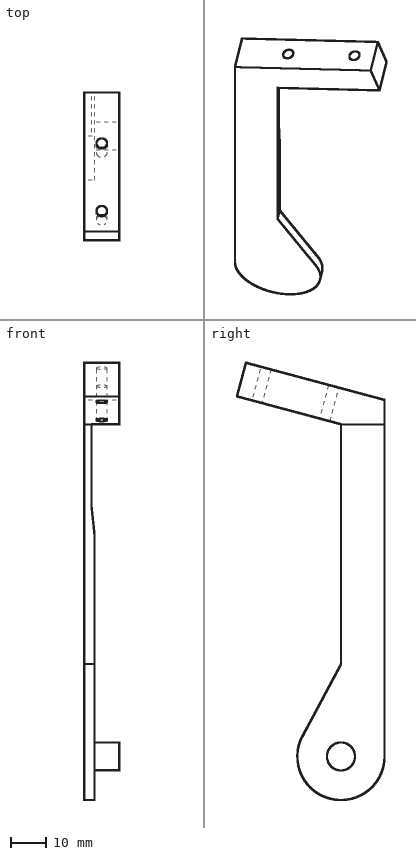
import cadquery as cq
import math

height = 124.9
width = 10.0
depth = 42.2

pad_radius = 12.5
plate_thickness = 3.0
pin_diameter = 8.0

stem_depth = 12.5
flare_start_z = 26.3
flare_end_z = 4.7
thin_thickness = 2.1
taper_bottom_z = 63.0
taper_top_z = 71.2

arm_angle = math.radians(15)
arm_height = 10.0
hole_diameter = 3.0
hole_pitch = 20.0
hole_end_offset = 6.0

back_y = pad_radius
stem_front_y = back_y - stem_depth
front_y = back_y - depth
top_z = height - pad_radius

along = (-math.cos(arm_angle), math.sin(arm_angle))
down = (-math.sin(arm_angle), -math.cos(arm_angle))

arm_tip_top = (front_y - arm_height * down[0], top_z)
arm_tip_bottom = (front_y, top_z + arm_height * down[1])
arm_length = (back_y - arm_tip_top[0]) / math.cos(arm_angle)
arm_back_top = (back_y, top_z - arm_length * along[1])
inner_corner_z = (
    arm_back_top[1] + stem_depth * math.tan(arm_angle) - arm_height / math.cos(arm_angle)
)
inner_corner = (stem_front_y, inner_corner_z)


def extrude_profile(profile, thickness):
    return profile.close().extrude(thickness)


def make_plate():
    """Stem and teardrop pad; the flare runs nearly tangent into the pad circle."""
    flare_end_y = -math.sqrt(pad_radius**2 - flare_end_z**2)
    profile = (
        cq.Workplane("YZ")
        .moveTo(back_y, 0)
        .lineTo(*arm_back_top)
        .lineTo(*inner_corner)
        .lineTo(stem_front_y, flare_start_z)
        .lineTo(flare_end_y, flare_end_z)
        .threePointArc((0, -pad_radius), (back_y, 0))
    )
    return extrude_profile(profile, plate_thickness)


def make_stem_relief():
    """Material removed from the +X face to thin the upper stem."""
    profile = (
        cq.Workplane("XZ")
        .moveTo(plate_thickness, taper_bottom_z)
        .lineTo(thin_thickness, taper_top_z)
        .lineTo(thin_thickness, height)
        .lineTo(plate_thickness, height)
        .close()
    )
    return profile.extrude(depth, both=True)


def make_arm():
    """Inclined arm; its root has a level underside across the stem."""
    profile = cq.Workplane("YZ").polyline(
        [arm_back_top, arm_tip_top, arm_tip_bottom, inner_corner, (back_y, inner_corner_z)]
    )
    return extrude_profile(profile, width)


def make_pin():
    return cq.Workplane("YZ").circle(pin_diameter / 2).extrude(width)


def make_arm_hole(distance_from_tip):
    """Cutter square to the arm's top face, passing through the arm."""
    start = cq.Vector(
        width / 2,
        arm_tip_top[0] - distance_from_tip * along[0],
        arm_tip_top[1] - distance_from_tip * along[1],
    )
    direction = cq.Vector(0, *down)
    cutter = cq.Solid.makeCylinder(
        hole_diameter / 2, 2 * arm_height, start - direction * (arm_height / 2), direction
    )
    return cq.Workplane(cutter)


result = make_plate().cut(make_stem_relief()).union(make_arm()).union(make_pin())
for hole_index in range(2):
    result = result.cut(make_arm_hole(hole_end_offset + hole_index * hole_pitch))